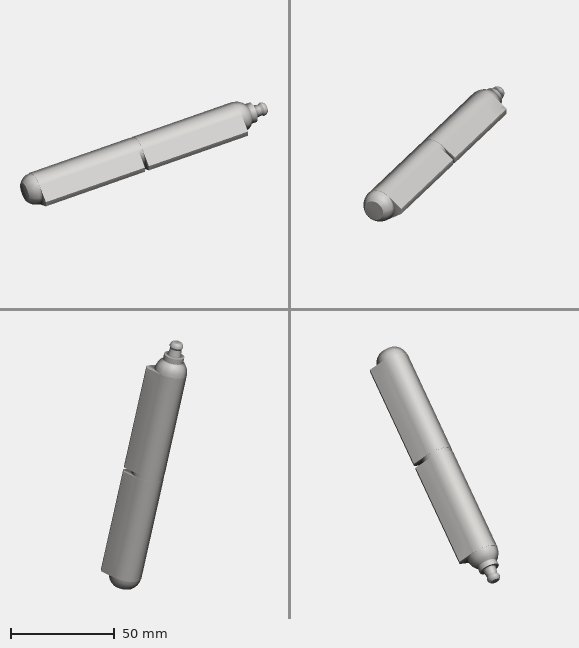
import cadquery as cq
import math

overall_length = 129.5
front_end = -overall_length / 2
back_end = overall_length / 2

barrel_radius = 8.0
barrel_length = 53.2
washer_radius = 7.9
washer_thickness = 2.1

cap_radius = 7.9
cap_face_radius = 4.99
front_cap_length = 5.6
back_cap_length = 5.8

ridge_reach = 11.9
ridge_tip_half_height = 1.4

collar_radius = 4.99
neck_base_radius = 3.4
neck_radius = 2.7
head_radius = 3.4
head_tip_radius = 2.3
head_length = 2.2
head_bulge_inset = 0.3
head_undercut_length = 1.2
neck_length = 3.5

front_barrel_start = front_end + front_cap_length
washer_start = front_barrel_start + barrel_length
back_barrel_start = washer_start + washer_thickness
back_cap_start = back_barrel_start + barrel_length
collar_start = back_cap_start + back_cap_length
head_start = back_end - head_length
neck_end = head_start - head_undercut_length
collar_end = neck_end - neck_length


def cylinder(radius, start, end):
    """Round bar on the Y axis between two stations."""
    return cq.Workplane("XZ", origin=(0, start, 0)).circle(radius).extrude(start - end)


def revolve_about_y(profile):
    """Turn a closed half profile in the XY plane around the Y axis."""
    return profile.close().revolve(360, (0, 0, 0), (0, 1, 0))


def barrel(start):
    """Hinge barrel with its tapered welding ridge."""
    end = start + barrel_length
    tip_distance = math.hypot(ridge_reach, ridge_tip_half_height)
    tip_angle = math.atan2(ridge_tip_half_height, ridge_reach)
    tangent_angle = tip_angle + math.acos(barrel_radius / tip_distance)
    root_x = barrel_radius * math.cos(tangent_angle)
    root_z = barrel_radius * math.sin(tangent_angle)
    ridge = (
        cq.Workplane("XZ", origin=(0, start, 0))
        .moveTo(0, -root_z)
        .lineTo(root_x, -root_z)
        .lineTo(ridge_reach, -ridge_tip_half_height)
        .lineTo(ridge_reach, ridge_tip_half_height)
        .lineTo(root_x, root_z)
        .lineTo(0, root_z)
        .close()
        .extrude(-barrel_length)
    )
    return cylinder(barrel_radius, start, end).union(ridge)


def end_cap(base, length, direction):
    """Cap rounded by an arc tangent to its side; direction is +1 or -1 along Y."""
    face = base + direction * length
    inset = cap_radius - cap_face_radius
    arc_radius = (inset**2 + length**2) / (2 * inset)
    half_angle = math.asin(length / arc_radius) / 2
    arc_middle = (
        cap_radius - arc_radius * (1 - math.cos(half_angle)),
        base + direction * arc_radius * math.sin(half_angle),
    )
    profile = (
        cq.Workplane("XY")
        .moveTo(0, base)
        .lineTo(cap_radius, base)
        .threePointArc(arc_middle, (cap_face_radius, face))
        .lineTo(0, face)
    )
    return revolve_about_y(profile)


def grease_nipple():
    """Collar, waisted neck and bulged head."""
    head_middle = (head_radius - head_bulge_inset, head_start + head_length / 2)
    profile = (
        cq.Workplane("XY")
        .moveTo(0, collar_start)
        .lineTo(collar_radius, collar_start)
        .lineTo(collar_radius, collar_end)
        .lineTo(neck_base_radius, collar_end)
        .lineTo(neck_radius, neck_end)
        .lineTo(head_radius, head_start)
        .threePointArc(head_middle, (head_tip_radius, back_end))
        .lineTo(0, back_end)
    )
    return revolve_about_y(profile)


result = (
    barrel(front_barrel_start)
    .union(cylinder(washer_radius, washer_start, back_barrel_start))
    .union(barrel(back_barrel_start))
    .union(end_cap(front_barrel_start, front_cap_length, -1))
    .union(end_cap(back_cap_start, back_cap_length, 1))
    .union(grease_nipple())
)